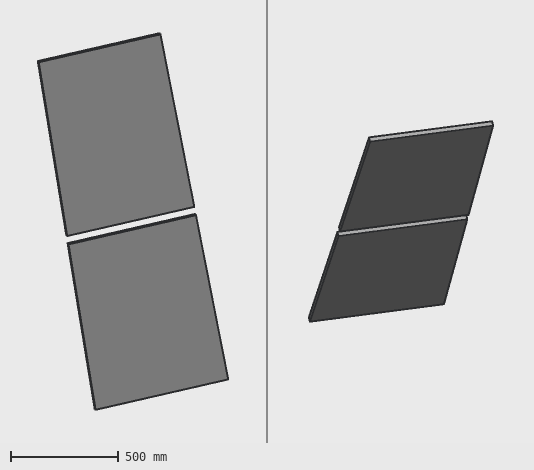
import cadquery as cq

slope_angle = 58.26
thickness = 24.0
lower_length = 820.0
gap = 41.0
upper_length = 862.0
bottom_width = 646.0
top_width = 593.0

total_length = lower_length + gap + upper_length

panel_plane = cq.Plane(origin=(0, 0, 0), xDir=(-1, 0, 0), normal=(0, 0, 1)).rotated((0, -slope_angle, 0))


def width_at(distance):
    """Panel width at a distance up the slope; the back edges share one straight taper."""
    return bottom_width + (top_width - bottom_width) * distance / total_length


def make_panel(start, length):
    """Tapered flat panel with a straight front edge at Y = 0."""
    end = start + length
    return (
        cq.Workplane(panel_plane)
        .moveTo(start, 0)
        .lineTo(end, 0)
        .lineTo(end, -width_at(end))
        .lineTo(start, -width_at(start))
        .close()
        .extrude(thickness)
    )


lower_panel = make_panel(0, lower_length)
upper_panel = make_panel(lower_length + gap, upper_length)

result = cq.Compound.makeCompound([lower_panel.val(), upper_panel.val()])